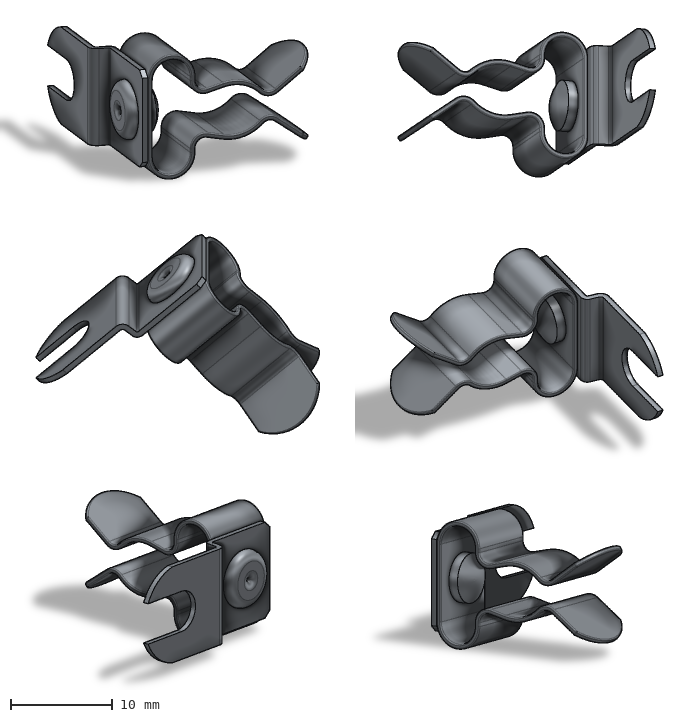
import cadquery as cq
import math


clip_width = 8.0
clip_height = 12.8
clip_reach = 18.05
clip_thickness = 0.5
clip_edge_radius = 0.12
loop_radius = 2.5
throat_drop = 0.4
throat_bend_radius = 1.0
ramp_length = 1.77
ramp_angle = 13.1
grip_radius = 4.6
grip_exit_angle = 43.7
flare_bend_radius = 1.0
flare_angle = 36.0
tip_radius = 5.0

bracket_height = 10.0
bracket_depth = 2.5
bracket_thickness = 0.6
pad_end_x = clip_width / 2
pad_corner_x = 0.75
pad_corner_z = 0.65
pad_bend_x = -4.48
web_angle = 83.0
easy_bend_angle = 37.0
easy_bend_radius = 0.33
tight_bend_radius = 0.05
fork_bend_radius = 0.35
slot_width = 4.2
slot_centre_x = -11.5
fork_nose_radius = 5.1
fork_nose_centre_x = -11.86

shank_radius = 2.5
shank_length = 1.0
dome_radius = 4.0
head_radius = 3.0
head_height = 1.0
dimple_radius = 1.0


def follow(start, heading, steps):
    """Trace a path; each step is (length, 0) for a line or (radius, turn) for an arc.

    Turns are in degrees, positive to the left. Returns a list of
    (start, heading, step) for every step, and the end point and heading.
    """
    (u, v), angle = start, heading
    stations = []
    for size, turn in steps:
        stations.append(((u, v), angle, (size, turn)))
        if turn:
            chord = 2 * size * math.sin(math.radians(abs(turn)) / 2)
        else:
            chord = size
        chord_angle = math.radians(angle + turn / 2)
        u += chord * math.cos(chord_angle)
        v += chord * math.sin(chord_angle)
        angle += turn
    return stations, (u, v), angle


def beside(point, heading, distance):
    """Point at a distance to the left of a path."""
    angle = math.radians(heading)
    return (point[0] - distance * math.sin(angle), point[1] + distance * math.cos(angle))


def bent_strip(plane, start, heading, steps, thickness, half_width):
    """Sheet of constant thickness along a path, extruded to both sides of the plane."""
    stations, end, end_heading = follow(start, heading, steps)
    half = thickness / 2
    outline = cq.Workplane(plane).moveTo(*beside(start, heading, half))
    left, right = [], []
    for point, angle, (size, turn) in stations:
        _, middle, middle_angle = follow(point, angle, [(size, turn / 2)])
        _, finish, finish_angle = follow(point, angle, [(size, turn)])
        for side, offset in ((left, half), (right, -half)):
            ends = [beside(point, angle, offset), beside(finish, finish_angle, offset)]
            side.append((ends, beside(middle, middle_angle, offset), turn))
    for (_, finish), middle, turn in left:
        outline = outline.threePointArc(middle, finish) if turn else outline.lineTo(*finish)
    outline = outline.lineTo(*beside(end, end_heading, -half))
    for (begin, _), middle, turn in reversed(right):
        outline = outline.threePointArc(middle, begin) if turn else outline.lineTo(*begin)
    return outline.close().extrude(half_width, both=True)


def rivet_hole(start_y, length):
    """Cylinder on the rivet axis, running towards +Y."""
    return cq.Workplane("XZ", origin=(0, start_y, 0)).circle(shank_radius).extrude(-length)


def make_clip_arm():
    """Upper half of the clip, from the middle of its back to the flared tip."""
    half = clip_thickness / 2
    start, upward = (half, 0), 90
    steps = [
        (clip_height / 2 - loop_radius, 0),
        (loop_radius - half, -180),
        (throat_drop, 0),
        (throat_bend_radius + half, 90 + ramp_angle),
        (ramp_length, 0),
        (grip_radius - half, -(ramp_angle + grip_exit_angle)),
        (flare_bend_radius + half, grip_exit_angle + flare_angle),
    ]
    _, flare_start, _ = follow(start, upward, steps)

    cosine = math.cos(math.radians(flare_angle))
    sine = math.sin(math.radians(flare_angle))
    corner_reach = half * sine - clip_edge_radius * (sine + cosine - 1)
    flare_length = (clip_reach - corner_reach - flare_start[0]) / cosine
    steps.append((flare_length, 0))
    _, tip, _ = follow(start, upward, steps)
    arm = bent_strip("YZ", start, upward, steps, clip_thickness, clip_width / 2)

    flare_plane = cq.Plane(origin=(0, *tip), xDir=(1, 0, 0), normal=(0, -sine, cosine))
    lip_sagitta = tip_radius - math.sqrt(tip_radius**2 - (clip_width / 2) ** 2)
    lip_end = (
        cq.Workplane(flare_plane)
        .moveTo(-clip_width / 2, -lip_sagitta)
        .threePointArc((0, 0), (clip_width / 2, -lip_sagitta))
        .lineTo(clip_width / 2, clip_thickness)
        .lineTo(-clip_width / 2, clip_thickness)
        .close()
        .extrude(clip_thickness, both=True)
    )
    return arm.cut(lip_end)


def make_clip():
    """Spring clip: two mirrored arms joined at the back, with rounded edges and a rivet hole."""
    arm = make_clip_arm()
    clip = arm.union(arm.mirror("XY")).clean()
    clip = clip.faces(">Y").edges("%CIRCLE").fillet(clip_edge_radius)
    clip = clip.faces("<X or >X").edges().fillet(clip_edge_radius)
    return clip.cut(rivet_hole(0, clip_thickness))


def make_bracket():
    """Joggled plate with a riveted pad at one end and an open fork at the other."""
    half = bracket_thickness / 2
    start, inward = (pad_end_x, -half), 180
    to_web = [
        (pad_end_x - pad_bend_x, 0),
        (easy_bend_radius + half, easy_bend_angle),
        (tight_bend_radius + half, web_angle - easy_bend_angle),
    ]
    fork_bend = (fork_bend_radius + half, -web_angle)

    _, without_web, _ = follow(start, inward, to_web + [fork_bend])
    depth_left = without_web[1] + bracket_depth - half
    web_length = depth_left / math.sin(math.radians(web_angle))

    steps = to_web + [(web_length, 0), fork_bend]
    _, fork_start, _ = follow(start, inward, steps)
    nose_x = fork_nose_centre_x - fork_nose_radius
    steps.append((fork_start[0] - nose_x, 0))
    bracket = bent_strip("XY", start, inward, steps, bracket_thickness, bracket_height / 2)

    top = bracket_height / 2
    shoulder_x = fork_nose_centre_x - math.sqrt(fork_nose_radius**2 - top**2)
    outline = (
        cq.Workplane("XZ")
        .moveTo(shoulder_x, top)
        .lineTo(pad_end_x - pad_corner_x, top)
        .lineTo(pad_end_x, top - pad_corner_z)
        .lineTo(pad_end_x, pad_corner_z - top)
        .lineTo(pad_end_x - pad_corner_x, -top)
        .lineTo(shoulder_x, -top)
        .threePointArc((nose_x, 0), (shoulder_x, top))
        .close()
        .extrude(bracket_depth)
    )

    slot_end_x = slot_centre_x + slot_width / 2
    slot_length = 2 * (slot_end_x - nose_x)
    slot = (
        cq.Workplane("XZ")
        .center(slot_end_x - slot_length / 2, 0)
        .slot2D(slot_length, slot_width)
        .extrude(bracket_depth)
    )
    return bracket.intersect(outline).cut(slot).cut(rivet_hole(-bracket_thickness, bracket_thickness))


def make_rivet():
    """Solid rivet: rounded head with a horn-shaped dimple, plain shank and domed end."""
    head_base_y = -bracket_thickness
    head_top_y = head_base_y - head_height
    flat_radius = head_radius - head_height
    shank_end_y = clip_thickness + shank_length
    dome_centre_y = shank_end_y - math.sqrt(dome_radius**2 - shank_radius**2)
    dome_mid_radius = shank_radius / 2
    dome_mid_y = dome_centre_y + math.sqrt(dome_radius**2 - dome_mid_radius**2)
    quarter_arc = math.sqrt(0.5)
    round_offset = head_height * quarter_arc
    profile = (
        cq.Workplane("XY")
        .moveTo(0, head_top_y + dimple_radius)
        .threePointArc(
            (dimple_radius * (1 - quarter_arc), head_top_y + dimple_radius * (1 - quarter_arc)),
            (dimple_radius, head_top_y),
        )
        .lineTo(flat_radius, head_top_y)
        .threePointArc(
            (flat_radius + round_offset, head_base_y - round_offset),
            (head_radius, head_base_y),
        )
        .lineTo(shank_radius, head_base_y)
        .lineTo(shank_radius, shank_end_y)
        .threePointArc((dome_mid_radius, dome_mid_y), (0, dome_centre_y + dome_radius))
        .close()
    )
    return profile.revolve(360, (0, 0, 0), (0, 1, 0))


clip = make_clip()
bracket = make_bracket()
rivet = make_rivet()

result = cq.Compound.makeCompound([clip.solids().val(), bracket.solids().val(), rivet.val()])